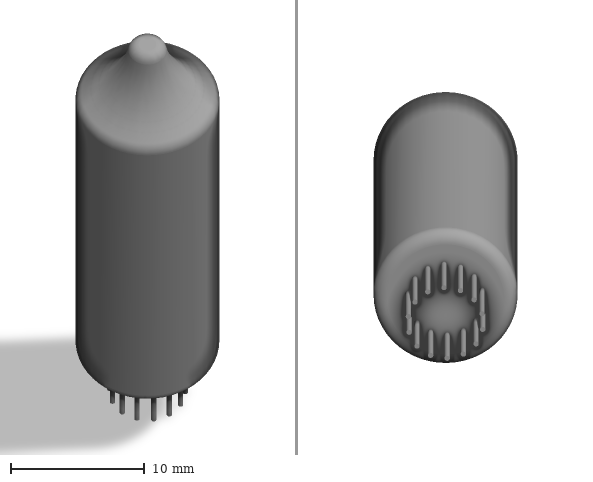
import cadquery as cq
import math

total_height = 41.0
body_radius = 10.8 / 2

edge_radius = 1.0
shoulder_start_z = 34.45
shoulder_turn = 60.0
neck_top_radius = 1.45
neck_top_z = 40.35
tip_flat_radius = 0.65

pin_count = 14
pin_diameter = 0.4
pin_circle_radius = 2.83
pin_length = 5.0
pin_embed = 0.4


def shoulder_point(angle_degrees):
    """Point (radius, z) on the shoulder rounding, measured up from horizontal."""
    angle = math.radians(angle_degrees)
    radius = body_radius - edge_radius + edge_radius * math.cos(angle)
    z = shoulder_start_z + edge_radius * math.sin(angle)
    return radius, z


def make_envelope():
    """Revolved body with a rounded base, a shoulder and a concave neck."""
    base_z = pin_length
    edge_center_radius = body_radius - edge_radius
    profile = (
        cq.Workplane("XZ")
        .moveTo(0, base_z)
        .lineTo(edge_center_radius, base_z)
        .tangentArcPoint((body_radius, base_z + edge_radius), relative=False)
        .lineTo(body_radius, shoulder_start_z)
        .threePointArc(shoulder_point(shoulder_turn / 2), shoulder_point(shoulder_turn))
        .tangentArcPoint((neck_top_radius, neck_top_z), relative=False)
        .tangentArcPoint((tip_flat_radius, total_height), relative=False)
        .lineTo(0, total_height)
        .close()
    )
    return profile.revolve(360, (0, 0, 0), (0, 1, 0))


def make_pins():
    """Ring of straight pins standing on the Z = 0 plane."""
    return (
        cq.Workplane("XY")
        .polarArray(pin_circle_radius, 90, 360, pin_count)
        .circle(pin_diameter / 2)
        .extrude(pin_length + pin_embed)
    )


result = make_envelope().union(make_pins())